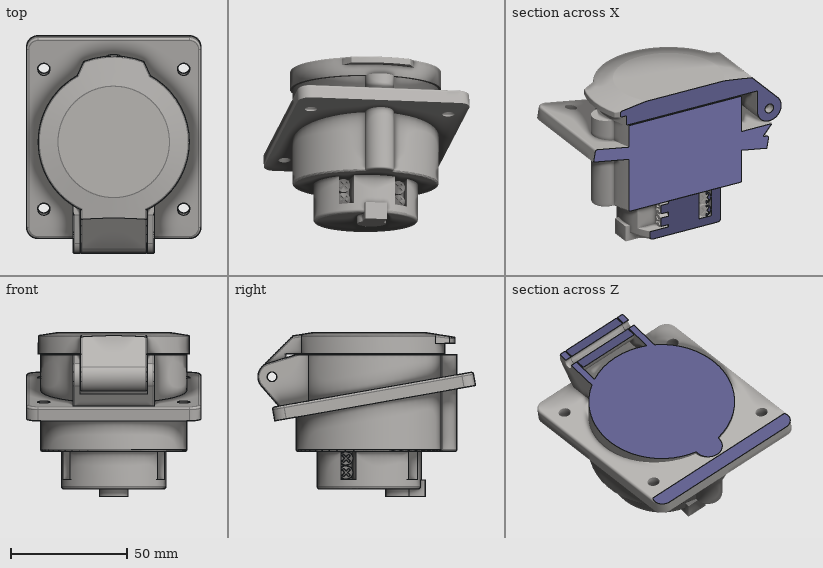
import cadquery as cq
import math

BARREL_RADIUS = 31.4
BARREL_HEIGHT = 41.5
BARREL_EDGE_FILLET = 0.75
KEY_RADIUS = 6.2

FLANGE_WIDTH = 75.0
FLANGE_LENGTH = 87.6
FLANGE_THICKNESS = 6.0
FLANGE_TILT = 10
FLANGE_CENTER_Y = 2.0
FLANGE_CENTER_Z = 23.6
FLANGE_CORNER_RADIUS = 5.05
FLANGE_EDGE_FILLET = 1.0
SCREW_HOLE_DIAMETER = 5.2
SCREW_HOLE_SPACING_X = 60.0
SCREW_HOLE_SPACING_Y = 61.0
SCREW_HOLE_SHIFT_Y = -0.4

HINGE_Y = -41.8
HINGE_Z = 32.0
HINGE_RADIUS = 6.1
HINGE_HOLE_DIAMETER = 4.0
EAR_SPAN = 35.0
EAR_TOP_ANGLE = 17
EAR_BOTTOM_ANGLE = 41
EAR_BASE_Z = 16.8
EAR_FILLET = 0.6
HINGE_GAP_WIDTH = 28.9
HINGE_GAP_FLOOR_Z = 24.5

LID_RADIUS = 32.4
LID_BOTTOM_Z = 41.8
LID_TOP_Z = 51.0
LID_FLAT_RADIUS = 23.9
LID_CONE_DROP = 0.16
LID_EDGE_FILLET = 0.6
LUG_WIDTH = 28.4
LUG_SLOPE = 45
TONGUE_RADIUS = 36.8
TONGUE_BOTTOM_Z = 46.4
TONGUE_TIP_HALF_WIDTH = 12.9
TONGUE_ROOT_HALF_WIDTH = 15.7

INSERT_RADIUS = 22.4
INSERT_HEIGHT = 16.3
INSERT_EDGE_FILLET = 1.2
BOSS_RADIUS = 6.2
BOSS_Y = 13.1
BOSS_BOTTOM_Z = -19.4
TAB_WIDTH = 9.35
TAB_END_Y = 24.0
TAB_TOP_Z = -12.25

SLOT_WIDTH = 6.0
SLOT_HEIGHT = 12.2
SLOT_OFFSET = 12.0
SLOT_FLOOR = 8.4
SLOT_TURN = 81
TERMINAL_SCREW_DIAMETER = 5.8
TERMINAL_SCREW_HEIGHT = 3.7
CROSS_LENGTH = 4.1
CROSS_WIDTH = 0.9
CROSS_DEPTH = 0.9
SLOT_SCREW_SHARES = (0.25, 0.75)
CROSS_ANGLES = (45, 135)

BIG = 187
MARGIN = 0.9
INSIDE_Y = -18.7


def hinge_point(angle):
    """Point (Y, Z) on the hinge round; 0 degrees is +Y, 90 degrees is +Z."""
    a = math.radians(angle)
    return HINGE_Y + HINGE_RADIUS * math.cos(a), HINGE_Z + HINGE_RADIUS * math.sin(a)


def extrude_across(profile, width):
    """Extrude a YZ profile symmetrically about the plane X = 0."""
    return profile.close().extrude(width / 2, both=True)


def hinge_hole():
    return cq.Workplane("YZ").center(HINGE_Y, HINGE_Z).circle(HINGE_HOLE_DIAMETER / 2).extrude(BIG, both=True)


def make_flange():
    plate = (
        cq.Workplane("XY")
        .box(FLANGE_WIDTH, FLANGE_LENGTH, FLANGE_THICKNESS)
        .edges("|Z").fillet(FLANGE_CORNER_RADIUS)
        .faces(">Z").edges().fillet(FLANGE_EDGE_FILLET)
        .faces(">Z").workplane(origin=(0, SCREW_HOLE_SHIFT_Y, 0))
        .rect(SCREW_HOLE_SPACING_X, SCREW_HOLE_SPACING_Y, forConstruction=True)
        .vertices().hole(SCREW_HOLE_DIAMETER)
    )
    tilted = plate.rotate((0, 0, 0), (1, 0, 0), FLANGE_TILT)
    return tilted.translate((0, FLANGE_CENTER_Y, FLANGE_CENTER_Z))


def make_hinge_block():
    """Block between barrel and flange, before the gap that turns it into two ears."""
    top = 90 + EAR_TOP_ANGLE
    bottom = 180 + EAR_BOTTOM_ANGLE
    top_y, top_z = hinge_point(top)
    bottom_y, bottom_z = hinge_point(bottom)
    shoulder_y = top_y + (BARREL_HEIGHT - top_z) / math.tan(math.radians(EAR_TOP_ANGLE))
    base_y = bottom_y + (bottom_z - EAR_BASE_Z) * math.tan(math.radians(EAR_BOTTOM_ANGLE))
    profile = (
        cq.Workplane("YZ")
        .moveTo(INSIDE_Y, BARREL_HEIGHT)
        .lineTo(shoulder_y, BARREL_HEIGHT)
        .lineTo(top_y, top_z)
        .threePointArc(hinge_point(180), (bottom_y, bottom_z))
        .lineTo(base_y, EAR_BASE_Z)
        .lineTo(INSIDE_Y, EAR_BASE_Z)
    )
    block = extrude_across(profile, EAR_SPAN)
    nose = cq.selectors.BoxSelector(
        (-BIG, -BIG, HINGE_Z - HINGE_RADIUS),
        (BIG, shoulder_y, BARREL_HEIGHT - MARGIN),
    )
    return block.faces("<X or >X").edges(nose).fillet(EAR_FILLET)


def make_housing():
    barrel = cq.Workplane("XY").circle(BARREL_RADIUS).extrude(BARREL_HEIGHT)
    key = (
        cq.Workplane("XY")
        .moveTo(-KEY_RADIUS, 0)
        .lineTo(-KEY_RADIUS, BARREL_RADIUS)
        .threePointArc((0, BARREL_RADIUS + KEY_RADIUS), (KEY_RADIUS, BARREL_RADIUS))
        .lineTo(KEY_RADIUS, 0)
        .close()
        .extrude(BARREL_HEIGHT)
    )
    barrel = barrel.union(key).faces("<Z").edges().fillet(BARREL_EDGE_FILLET)
    gap = (
        cq.Workplane("XY", origin=(0, 0, HINGE_GAP_FLOOR_Z))
        .rect(HINGE_GAP_WIDTH, BIG)
        .extrude(BARREL_HEIGHT)
    )
    ears = make_hinge_block().cut(gap).cut(hinge_hole())
    return barrel.union(make_flange()).union(ears)


def make_lug():
    """Lid arm that slopes down to the hinge barrel between the ears."""
    slope_y, slope_z = hinge_point(180 - LUG_SLOPE)
    rise = LID_TOP_Z - slope_z
    profile = (
        cq.Workplane("YZ")
        .moveTo(INSIDE_Y, LID_BOTTOM_Z)
        .lineTo(HINGE_Y + HINGE_RADIUS, LID_BOTTOM_Z)
        .lineTo(*hinge_point(0))
        .threePointArc(hinge_point(270), hinge_point(180))
        .threePointArc(hinge_point(180 - LUG_SLOPE / 2), (slope_y, slope_z))
        .lineTo(slope_y + rise / math.tan(math.radians(LUG_SLOPE)), LID_TOP_Z)
        .lineTo(INSIDE_Y, LID_TOP_Z)
    )
    return extrude_across(profile, LUG_WIDTH)


def make_tongue():
    """Finger tongue on the back of the lid."""
    tip_y = math.sqrt(TONGUE_RADIUS**2 - TONGUE_TIP_HALF_WIDTH**2)
    root_y = math.sqrt(LID_RADIUS**2 - TONGUE_ROOT_HALF_WIDTH**2)
    return (
        cq.Workplane("XY", origin=(0, 0, TONGUE_BOTTOM_Z))
        .lineTo(-TONGUE_ROOT_HALF_WIDTH, root_y)
        .lineTo(-TONGUE_TIP_HALF_WIDTH, tip_y)
        .threePointArc((0, TONGUE_RADIUS), (TONGUE_TIP_HALF_WIDTH, tip_y))
        .lineTo(TONGUE_ROOT_HALF_WIDTH, root_y)
        .close()
        .extrude(LID_TOP_Z - TONGUE_BOTTOM_Z)
    )


def cone_cutter():
    """Ring that cuts the lid top down to a cone outside the flat disc."""
    cone_end_z = LID_TOP_Z - LID_CONE_DROP * (BIG - LID_FLAT_RADIUS)
    return (
        cq.Workplane("XZ")
        .moveTo(LID_FLAT_RADIUS, LID_TOP_Z)
        .lineTo(BIG, cone_end_z)
        .lineTo(BIG, LID_TOP_Z)
        .close()
        .revolve(360, (0, 0, 0), (0, 1, 0))
    )


def make_lid():
    disc = (
        cq.Workplane("XY", origin=(0, 0, LID_BOTTOM_Z))
        .circle(LID_RADIUS)
        .extrude(LID_TOP_Z - LID_BOTTOM_Z)
    )
    lid = disc.union(make_tongue()).union(make_lug()).cut(cone_cutter())
    rim_box = cq.selectors.BoxSelector((-BIG, -LID_RADIUS, 0), (BIG, BIG, LID_TOP_Z - LID_EDGE_FILLET))
    slope_box = cq.selectors.BoxSelector((-BIG, -BIG, 0), (BIG, HINGE_Y + HINGE_RADIUS - MARGIN, BIG))
    rim = lid.faces("%CONE").edges("not %LINE").edges(rim_box)
    lug_sides = lid.edges(slope_box).edges("not |X")
    return rim.add(lug_sides).fillet(LID_EDGE_FILLET).cut(hinge_hole())


def terminal_screw(z):
    """Screw head with a cross recess, standing on the slot floor and facing +Y."""
    face = cq.Workplane("XZ", origin=(-SLOT_OFFSET, SLOT_FLOOR, z))
    head = face.circle(TERMINAL_SCREW_DIAMETER / 2).extrude(-TERMINAL_SCREW_HEIGHT)
    top = face.workplane(offset=-TERMINAL_SCREW_HEIGHT)
    for angle in CROSS_ANGLES:
        bar = top.transformed(rotate=(0, 0, angle)).rect(CROSS_LENGTH, CROSS_WIDTH).extrude(CROSS_DEPTH)
        head = head.cut(bar)
    return head


def terminal_slot():
    """Space of one slot, open towards +Y, less the two screw heads on its floor."""
    slot = (
        cq.Workplane("XY")
        .center(-SLOT_OFFSET, (SLOT_FLOOR + INSERT_RADIUS) / 2)
        .rect(SLOT_WIDTH, INSERT_RADIUS - SLOT_FLOOR)
        .extrude(-SLOT_HEIGHT)
    )
    for share in SLOT_SCREW_SHARES:
        slot = slot.cut(terminal_screw(-SLOT_HEIGHT * share))
    return slot


def placed(shape, turn, mirrored):
    """Turn a shape about the insert axis and, if asked, mirror it to the +X side."""
    turned = shape.rotate((0, 0, 0), (0, 0, 1), turn)
    return turned.mirror("YZ") if mirrored else turned


def make_insert():
    body = (
        cq.Workplane("XY")
        .circle(INSERT_RADIUS)
        .extrude(-INSERT_HEIGHT)
        .faces("<Z").edges().fillet(INSERT_EDGE_FILLET)
    )
    for mirrored in (False, True):
        for turn in (0, SLOT_TURN):
            body = body.cut(placed(terminal_slot(), turn, mirrored))
    boss = (
        cq.Workplane("XY", origin=(0, BOSS_Y, BOSS_BOTTOM_Z))
        .circle(BOSS_RADIUS)
        .extrude(TAB_TOP_Z - BOSS_BOTTOM_Z)
    )
    tab_length = TAB_END_Y - BOSS_Y
    tab = (
        cq.Workplane("XY", origin=(0, BOSS_Y + tab_length / 2, BOSS_BOTTOM_Z))
        .rect(TAB_WIDTH, tab_length)
        .extrude(TAB_TOP_Z - BOSS_BOTTOM_Z)
    )
    return body.union(boss).union(tab)


housing = make_housing()
lid = make_lid()
insert = make_insert()

result = cq.Compound.makeCompound([housing.val(), lid.val(), insert.val()])